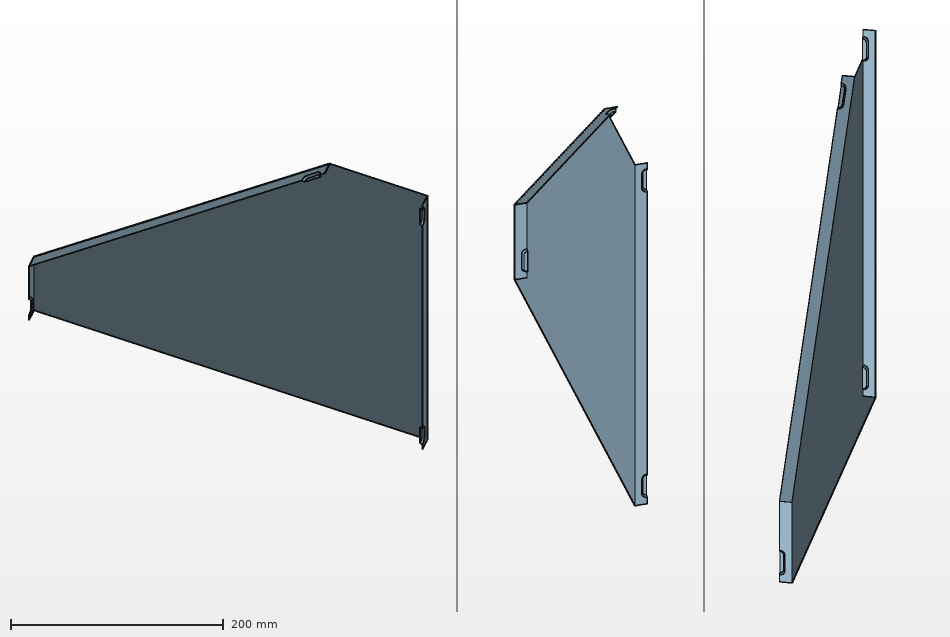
import cadquery as cq
import math

width = 400.0
height = 384.71
slope_rise = 300.0
left_height = height - slope_rise

sheet = 0.75
depth = 12.5

dent_from_end = 20.0
dent_length = 25.0
dent_reach = 5.0
dent_corner = 4.8
dent_drop = 2.5
dent_draft = 30.0

bottom_left = (0.0, 0.0)
left_corner = (0.0, left_height)
top_corner = (slope_rise, height)
top_right = (width, height)
bottom_right = (width, 0.0)


def panel_prism(thickness):
    """Panel outline, filled forwards from the back face."""
    return (
        cq.Workplane("XZ", origin=(0, depth, 0))
        .polyline([bottom_left, left_corner, top_corner, top_right, bottom_right])
        .close()
        .extrude(thickness)
    )


def edge_plane(start, end):
    """Plane on a flange's outer face: x along the edge, y towards the panel, z inwards."""
    length = math.dist(start, end)
    along_x = (end[0] - start[0]) / length
    along_z = (end[1] - start[1]) / length
    return cq.Plane((start[0], 0, start[1]), xDir=(along_x, 0, along_z), normal=(-along_z, 0, along_x))


def flange(start, end, envelope):
    """Flange along one edge, trimmed at its ends by the panel outline."""
    overrun = 2 * sheet
    length = math.dist(start, end)
    return (
        cq.Workplane(edge_plane(start, end))
        .moveTo(-overrun, 0)
        .rect(length + 2 * overrun, depth, centered=False)
        .extrude(sheet)
        .intersect(envelope)
    )


def dent_block(plane, centre, wall):
    """Drafted, round-cornered block of a dent's recess, enlarged by a wall thickness."""
    side_growth = wall / math.cos(math.radians(dent_draft))
    return (
        cq.Workplane(plane)
        .center(centre, 0)
        .sketch()
        .rect(dent_length + 2 * side_growth, 2 * (dent_reach + side_growth))
        .vertices()
        .fillet(dent_corner + side_growth)
        .finalize()
        .extrude(dent_drop + wall, taper=dent_draft)
    )


def add_dent(body, start, end, distance, envelope):
    """Press one dent into a flange, at a distance from the start of its edge."""
    plane = edge_plane(start, end)
    bump = dent_block(plane, distance, sheet).intersect(envelope)
    recess = dent_block(plane, distance, 0.0)
    return body.union(bump).cut(recess)


envelope = panel_prism(depth)
left_edge = (left_corner, bottom_left)
sloped_edge = (top_corner, left_corner)
right_edge = (bottom_right, top_right)

result = panel_prism(sheet)
for start, end in (left_edge, sloped_edge, right_edge):
    result = result.union(flange(start, end, envelope))

dents = [
    (left_edge, left_height - dent_from_end),
    (sloped_edge, dent_from_end),
    (right_edge, dent_from_end),
    (right_edge, height - dent_from_end),
]
for (start, end), distance in dents:
    result = add_dent(result, start, end, distance, envelope)